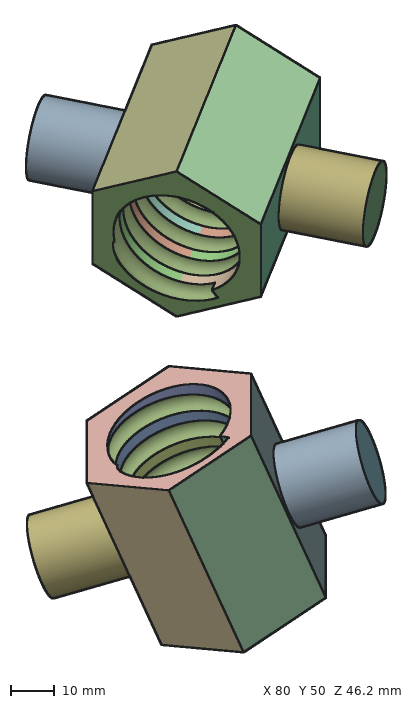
import cadquery as cq
import math

body_length = 50.0
across_flats = 40.0
across_corners = across_flats / math.cos(math.pi / 6)
bore_diameter = 30.0

pin_diameter = 20.0
pin_span = 80.0

groove_radius = 2.5
groove_pitch = 8.0
groove_overlap = 1.0
groove_start_angle = -56.0


def along_y(shape):
    """Turn a shape built from Z = 0 upward so it runs along +Y from the -Y end of the body."""
    return shape.rotate((0, 0, 0), (1, 0, 0), -90).translate((0, -body_length / 2, 0))


def make_body():
    hexagon = cq.Workplane("XY").polygon(6, across_corners).extrude(body_length)
    return along_y(hexagon.rotate((0, 0, 0), (0, 0, 1), 90))


def make_pins():
    return cq.Workplane("YZ").circle(pin_diameter / 2).extrude(pin_span / 2, both=True)


def make_bore():
    bore = cq.Workplane("XY").circle(bore_diameter / 2).extrude(body_length)
    return along_y(bore.rotate((0, 0, 0), (0, 0, 1), 90))


def make_groove():
    bore_radius = bore_diameter / 2
    helix = cq.Wire.makeHelix(groove_pitch, body_length, bore_radius)
    flat_radius = bore_radius - groove_overlap
    flat_half_width = math.sqrt(groove_radius**2 - groove_overlap**2)
    groove = (
        cq.Workplane("XZ")
        .moveTo(flat_radius, -flat_half_width)
        .threePointArc((bore_radius + groove_radius, 0), (flat_radius, flat_half_width))
        .close()
        .sweep(cq.Workplane(helix), isFrenet=True)
    )
    return along_y(groove.rotate((0, 0, 0), (0, 0, 1), -groove_start_angle))


result = make_body().union(make_pins()).cut(make_bore()).cut(make_groove())